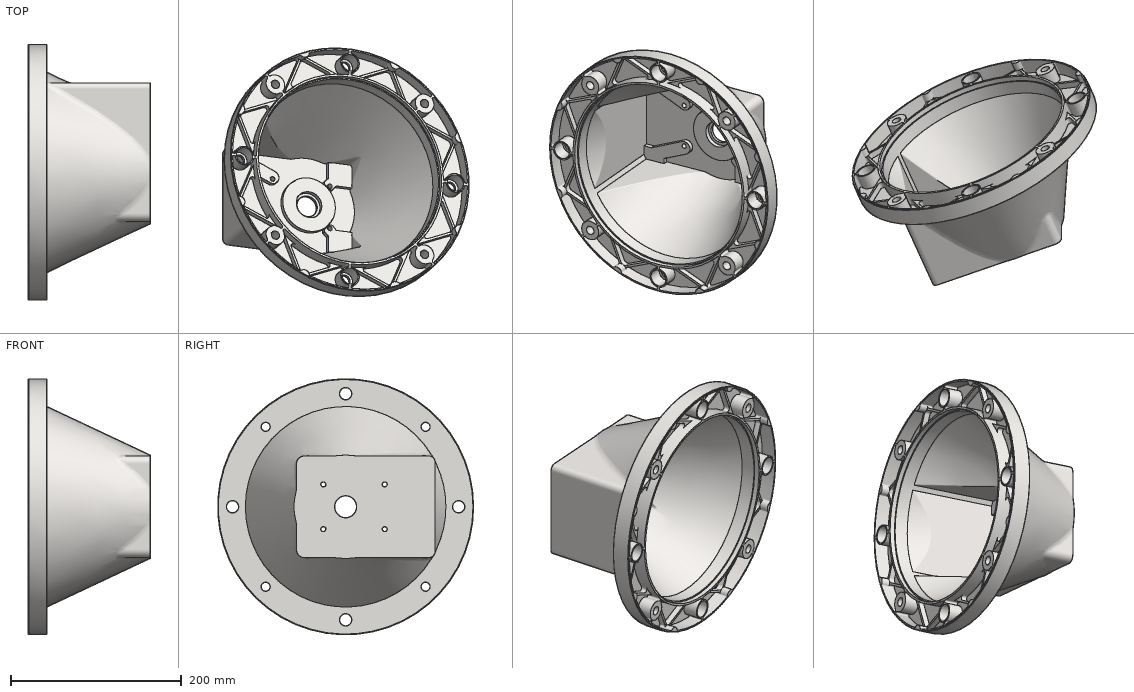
import cadquery as cq
import math

total_length = 143.0

flange_radius = 150.0
flange_thickness = 22.0
flange_edge_chamfer = 0.8

cone_base_radius = 235.0 / 2
cone_end_radius = 60.5
box_y_max = 104.8
box_y_min = -57.5
box_half_height = 59.5
box_near_corner_radius = 9.0
box_far_corner_radius = 7.0
box_cone_fillet = 9.0

floor_thickness = 4.0
floor_x = total_length - floor_thickness
box_wall = 3.8
cavity_corner_radius = 3.0
cavity_floor_radius = 59.3
cavity_seam_fillet = 1.5
spigot_radius = 230.0 / 2
spigot_depth = 6.0
throat_front_radius = 113.7
throat_back_radius = 112.8
throat_end_x = 22.5

pocket_count = 8
pocket_angle = 360 / pocket_count
pocket_depth = 18.0
pocket_inner_radius = cone_base_radius
pocket_outer_radius = 147.6
pocket_corner_radius = 1.6
middle_corner_radius = 3.2
web_width = 2.7

rib_width = 2.7
rib_drop = 10.5
rib_apex_radius = 148.0
rib_half_angle = 45.0
rib_length = 60.0
node_radius = 6.5
node_center_radius = 150.0

bolt_circle_radius = 265.0 / 2
bolt_boss_radius = 23.4 / 2
axis_bolt_diameter = 14.0
axis_counterbore_diameter = 20.15
diagonal_bolt_diameter = 10.25

screw_diameter = 5.5
screw_y_far = 45.8
screw_y_near = -26.2
screw_z = 26.2
pilot_bore_diameter = 25.4
ring_diameter = 66.0
ring_bore_diameter = 32.0
ring_clearance_diameter = 67.5

pad_height = 6.0
pad_top_x = floor_x - pad_height
arm_nose_radius = 7.9
arm_nose_z = 28.4
arm_end_y = 90.6
arm_end_z = 39.3
arm_wall_y = 73.5
near_pad_y = -24.1
near_pad_z = 27.6
near_nose_y = -19.4
near_nose_z = 22.0
near_nose_top_z = 35.7
near_nose_end_y = -34.2
near_nose_chamfer = 4.6


def disc(x, length, radius, y=0.0, z=0.0):
    """Cylinder along +X that starts at x."""
    return cq.Workplane("YZ", origin=(x, y, z)).circle(radius).extrude(length)


def block(x0, x1, y0, y1, z0, z1):
    """Box between two opposite corners."""
    return cq.Workplane("XY").box(x1 - x0, y1 - y0, z1 - z0, centered=False).translate((x0, y0, z0))


def revolve_about_x(points):
    """Solid of revolution from an (x, radius) outline."""
    return cq.Workplane("XY").polyline(points).close().revolve(360, (0, 0, 0), (1, 0, 0))


def turn(shape, angle):
    """Copy of a shape turned about the X axis."""
    return shape.rotate((0, 0, 0), (1, 0, 0), angle)


def blend_box_into_cone(cone, box, radius):
    """Join a box to a cone and round the curves where they meet."""
    joined = cone.union(box)
    seams = [edge for edge in joined.edges().vals() if edge.geomType() not in ("LINE", "CIRCLE")]
    return joined.newObject(seams).fillet(radius)


def make_outer():
    cone_slope = (cone_base_radius - cone_end_radius) / (total_length - flange_thickness)
    cone = revolve_about_x([
        (0, 0),
        (0, cone_base_radius + cone_slope * flange_thickness),
        (total_length, cone_end_radius),
        (total_length, 0),
    ])
    box = block(0, total_length, box_y_min, box_y_max, -box_half_height, box_half_height)
    box = box.edges("|X and <Y").fillet(box_near_corner_radius)
    box = box.edges("|X and >Y").fillet(box_far_corner_radius)
    shell = blend_box_into_cone(cone, box, box_cone_fillet)

    flange = disc(0, flange_thickness, flange_radius).edges().chamfer(flange_edge_chamfer)
    return shell.union(flange)


def make_cavity_box():
    inner_height = box_half_height - box_wall
    box = block(0, floor_x, box_y_min + box_wall, box_y_max - box_wall, -inner_height, inner_height)
    return box.edges("|X").fillet(cavity_corner_radius)


def make_cavity():
    """Spigot recess and throat at the flange, then the cone and box down to the floor."""
    cone_slope = (throat_back_radius - cavity_floor_radius) / (floor_x - throat_end_x)
    cone = revolve_about_x([
        (0, 0),
        (0, throat_back_radius + cone_slope * throat_end_x),
        (floor_x, cavity_floor_radius),
        (floor_x, 0),
    ])
    bell = blend_box_into_cone(cone, make_cavity_box(), cavity_seam_fillet)
    envelope = revolve_about_x([
        (0, 0),
        (0, throat_front_radius),
        (throat_end_x, throat_back_radius),
        (floor_x, throat_back_radius),
        (floor_x, 0),
    ])
    bell = bell.intersect(envelope)
    return bell.union(disc(0, spigot_depth, spigot_radius))


def make_pocket_outline(x0, x1):
    """Pocket on the +Z side, between two bolt bosses and their webs, with the node left standing."""
    length = x1 - x0
    half_angle = math.radians(pocket_angle / 2)
    reach = 2 * flange_radius
    side = (reach * math.sin(half_angle), reach * math.cos(half_angle))
    sector = (
        cq.Workplane("YZ", origin=(x0, 0, 0))
        .polyline([(0, 0), side, (-side[0], side[1])]).close().extrude(length)
    )
    pocket = disc(x0, length, pocket_outer_radius).cut(disc(x0, length, pocket_inner_radius))
    pocket = pocket.intersect(sector)
    boss = disc(x0, length, bolt_boss_radius, 0, bolt_circle_radius)
    boss = boss.union(block(x0, x1, -web_width / 2, web_width / 2, 0, flange_radius))
    for angle in (-pocket_angle / 2, pocket_angle / 2):
        pocket = pocket.cut(turn(boss, angle))
    return pocket.cut(disc(x0, length, node_radius, 0, node_center_radius))


def make_pocket():
    upper = make_pocket_outline(0, rib_drop).edges("|X").fillet(pocket_corner_radius)
    lower = make_pocket_outline(rib_drop, pocket_depth)
    rib = block(rib_drop, pocket_depth, -rib_width / 2, rib_width / 2, -rib_length, 0)
    for angle in (-rib_half_angle, rib_half_angle):
        lower = lower.cut(turn(rib, angle).translate((0, 0, rib_apex_radius)))
    between_ribs = cq.NearestToPointSelector((rib_drop, 0, bolt_circle_radius))
    middle = lower.solids(between_ribs).edges("|X").fillet(middle_corner_radius)
    sides = lower.cut(lower.solids(between_ribs)).edges("|X").fillet(pocket_corner_radius)
    return upper.union(sides).union(middle)


def make_pockets():
    pocket = make_pocket()
    return [turn(pocket, (i + 0.5) * pocket_angle) for i in range(pocket_count)]


def make_bolt_holes():
    axis_hole = disc(0, flange_thickness, axis_bolt_diameter / 2, 0, bolt_circle_radius)
    axis_hole = axis_hole.union(disc(0, pocket_depth, axis_counterbore_diameter / 2, 0, bolt_circle_radius))
    diagonal_hole = disc(0, flange_thickness, diagonal_bolt_diameter / 2, 0, bolt_circle_radius)
    kinds = (axis_hole, diagonal_hole)
    return [turn(kinds[i % len(kinds)], i * pocket_angle) for i in range(pocket_count)]


def make_far_pad():
    """Arm from the far +Z corner of the box to its screw, with a round nose and parallel sides."""
    run = arm_end_y - screw_y_far
    rise = arm_end_z - arm_nose_z
    slope = math.atan2(rise, run) + math.asin(arm_nose_radius / math.hypot(run, rise))
    along_y = arm_nose_radius * math.cos(slope)
    along_z = arm_nose_radius * math.sin(slope)
    lower_tangent = (screw_y_far + along_z, arm_nose_z - along_y)
    upper_tangent = (screw_y_far - along_z, arm_nose_z + along_y)
    nose_tip = (screw_y_far - along_y, arm_nose_z - along_z)
    side_z = upper_tangent[1] + (arm_wall_y - upper_tangent[0]) * math.tan(slope)
    return (
        cq.Workplane("YZ", origin=(pad_top_x, 0, 0))
        .moveTo(box_y_max, arm_end_z)
        .lineTo(arm_end_y, arm_end_z)
        .lineTo(*lower_tangent)
        .threePointArc(nose_tip, upper_tangent)
        .lineTo(arm_wall_y, side_z)
        .lineTo(arm_wall_y, box_half_height)
        .lineTo(box_y_max, box_half_height)
        .close()
        .extrude(pad_height)
    )


def make_near_pad():
    """Pad in the near +Z corner of the box, with a chamfered nose around its screw."""
    return (
        cq.Workplane("YZ", origin=(pad_top_x, 0, 0))
        .moveTo(box_y_min, box_half_height)
        .lineTo(near_pad_y, box_half_height)
        .lineTo(near_pad_y, near_nose_top_z)
        .lineTo(near_nose_y, near_nose_top_z - near_nose_chamfer)
        .lineTo(near_nose_y, near_nose_z)
        .lineTo(near_nose_end_y + near_nose_chamfer, near_nose_z)
        .lineTo(near_nose_end_y, near_pad_z)
        .lineTo(box_y_min, near_pad_z)
        .close()
        .extrude(pad_height)
    )


def make_pads():
    upper = make_far_pad().union(make_near_pad())
    pads = upper.union(upper.mirror("XY"))
    pads = pads.intersect(make_cavity_box())
    return pads.cut(disc(pad_top_x, pad_height, ring_clearance_diameter / 2))


def make_floor_holes():
    length = total_length - pad_top_x
    holes = [disc(pad_top_x, length, pilot_bore_diameter / 2)]
    for y in (screw_y_far, screw_y_near):
        for z in (screw_z, -screw_z):
            holes.append(disc(pad_top_x, length, screw_diameter / 2, y, z))
    return holes


def cut_all(body, tools):
    """Cut several tools out of a body in one step."""
    return body.newObject([body.val().cut(*[tool.val() for tool in tools])])


def make_housing():
    body = make_outer().cut(make_cavity()).union(make_pads())
    body = cut_all(body, make_pockets() + make_bolt_holes() + make_floor_holes())
    return body.solids()


def make_ring():
    """Ring that stands on the floor around the pilot bore, level with the pads."""
    ring = disc(pad_top_x, pad_height, ring_diameter / 2)
    return ring.cut(disc(pad_top_x, pad_height, ring_bore_diameter / 2))


housing = make_housing()
ring = make_ring()
result = cq.Compound.makeCompound([housing.val(), ring.val()])